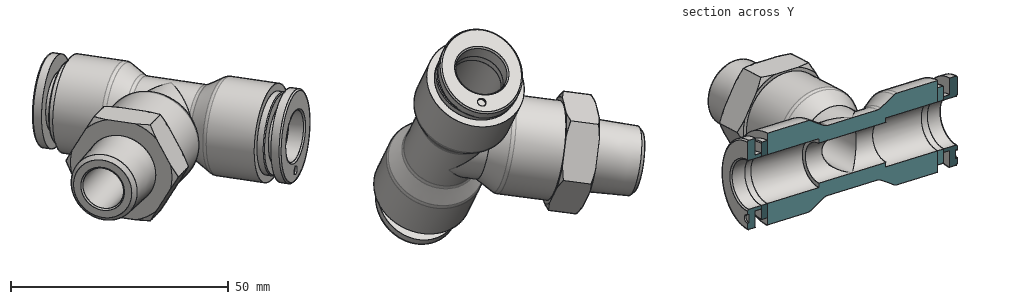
import cadquery as cq
import math


SOCKET_RADIUS = 23.2 / 2
NECK_RADIUS = 8.9
ARM_LENGTH = 24.8
SHOULDER_START = 7.8
SHOULDER_ANGLE = 30
SHOULDER_ROUND = 1.85
FLOW_RADIUS = 10.0 / 2
TUBE_RADIUS = 12.2 / 2
TUBE_STOP = 9.8

COLLAR_RADIUS = 19.6 / 2
COLLAR_END = 26.55
COLLAR_CHAMFER = 0.25

SLEEVE_RADIUS = 14.2 / 2
SLEEVE_END = 30.6
FLANGE_THICKNESS = 2.4
FLANGE_WIDTH = 19.6
FLANGE_HEIGHT = 22.5
FLANGE_CHAMFER = 0.35
MOUTH_CHAMFER = 0.35
DOT_RADIUS = 2.0 / 2
DOT_OFFSET = 8.45
DOT_DEPTH = 0.5

OVERALL_DEPTH = 56.3
HEX_FLATS = 24.0
HEX_LENGTH = 7.85
HEX_FACE_RADIUS = 12.5
HEX_CHAMFER_ANGLE = 25
STUD_LENGTH = OVERALL_DEPTH - SOCKET_RADIUS - ARM_LENGTH
THREAD_ROOT_RADIUS = 8.5
THREAD_TIP_RADIUS = 8.15
TIP_CHAMFER = 1.0
STUD_MOUTH_CHAMFER = 0.35


def cylinder_x(radius, start, end):
    """Cylinder on the X axis between two X positions."""
    return cq.Workplane("YZ", origin=(start, 0, 0)).circle(radius).extrude(end - start)


def on_branch(shape):
    """Turn a shape from the +X axis to the -Y axis."""
    return shape.rotate((0, 0, 0), (0, 0, 1), -90)


def make_arm(inner_round):
    """Solid arm on +X: a neck, a conical shoulder and a socket."""
    shoulder_end = SHOULDER_START + (SOCKET_RADIUS - NECK_RADIUS) / math.tan(math.radians(SHOULDER_ANGLE))
    arm = (
        cq.Workplane("XY")
        .polyline([
            (0, 0),
            (0, NECK_RADIUS),
            (SHOULDER_START, NECK_RADIUS),
            (shoulder_end, SOCKET_RADIUS),
            (ARM_LENGTH, SOCKET_RADIUS),
            (ARM_LENGTH, 0),
        ])
        .close()
        .revolve(360, (0, 0, 0), (1, 0, 0))
    )
    rounded_positions = [shoulder_end, SHOULDER_START] if inner_round else [shoulder_end]
    for x in rounded_positions:
        circle_centre = (x, 0, 0)
        arm = arm.edges(cq.selectors.NearestToPointSelector(circle_centre)).fillet(SHOULDER_ROUND)
    return arm


def make_housing():
    """Tee of three arms with crossing flow bores and a tube socket in each end of the run."""
    run_arm = make_arm(inner_round=True)
    housing = run_arm.union(run_arm.mirror("YZ")).union(on_branch(make_arm(inner_round=False)))
    flow_bore = cylinder_x(FLOW_RADIUS, 0, ARM_LENGTH)
    housing = housing.cut(cylinder_x(FLOW_RADIUS, -ARM_LENGTH, ARM_LENGTH)).cut(on_branch(flow_bore))
    socket = cylinder_x(TUBE_RADIUS, TUBE_STOP, ARM_LENGTH)
    return housing.cut(socket).cut(socket.mirror("YZ"))


def make_collar():
    """Collar ring on +X, seated against the end of the housing."""
    ring = cylinder_x(COLLAR_RADIUS, ARM_LENGTH, COLLAR_END).faces(">X").chamfer(COLLAR_CHAMFER)
    return ring.cut(cylinder_x(TUBE_RADIUS, ARM_LENGTH, COLLAR_END))


def make_sleeve():
    """Release sleeve on +X, seated against the collar: a tube with an oval flange and a marker dot."""
    flange = (
        cq.Workplane("YZ", origin=(SLEEVE_END - FLANGE_THICKNESS, 0, 0))
        .ellipse(FLANGE_WIDTH / 2, FLANGE_HEIGHT / 2)
        .extrude(FLANGE_THICKNESS)
        .faces(">X")
        .chamfer(FLANGE_CHAMFER)
    )
    sleeve = cylinder_x(SLEEVE_RADIUS, COLLAR_END, SLEEVE_END - FLANGE_THICKNESS).union(flange)
    sleeve = sleeve.cut(cylinder_x(TUBE_RADIUS, COLLAR_END, SLEEVE_END))
    sleeve = sleeve.faces(">X").edges("%CIRCLE").chamfer(MOUTH_CHAMFER)
    dot = cylinder_x(DOT_RADIUS, SLEEVE_END - DOT_DEPTH, SLEEVE_END).translate((0, 0, -DOT_OFFSET))
    return sleeve.cut(dot)


def make_hex():
    """Hexagon starting at X = 0, flats facing +Z and -Z, corners turned off at both ends."""
    corner_radius = HEX_FLATS / 2 / math.cos(math.radians(30))
    corner_depth = (corner_radius - HEX_FACE_RADIUS) * math.tan(math.radians(HEX_CHAMFER_ANGLE))
    prism = cq.Workplane("YZ").polygon(6, 2 * corner_radius).extrude(HEX_LENGTH)
    turned = (
        cq.Workplane("XY")
        .polyline([
            (0, 0),
            (0, HEX_FACE_RADIUS),
            (corner_depth, corner_radius),
            (HEX_LENGTH - corner_depth, corner_radius),
            (HEX_LENGTH, HEX_FACE_RADIUS),
            (HEX_LENGTH, 0),
        ])
        .close()
        .revolve(360, (0, 0, 0), (1, 0, 0))
    )
    return prism.intersect(turned)


def make_stud():
    """Hexagon and tapered thread blank, seated against the end of the branch."""
    thread = (
        cq.Workplane("XY")
        .polyline([
            (HEX_LENGTH, 0),
            (HEX_LENGTH, THREAD_ROOT_RADIUS),
            (STUD_LENGTH - TIP_CHAMFER, THREAD_TIP_RADIUS),
            (STUD_LENGTH, THREAD_TIP_RADIUS - TIP_CHAMFER),
            (STUD_LENGTH, 0),
        ])
        .close()
        .revolve(360, (0, 0, 0), (1, 0, 0))
    )
    stud = make_hex().union(thread).cut(cylinder_x(FLOW_RADIUS, 0, STUD_LENGTH))
    stud = stud.faces(">X").edges(cq.selectors.RadiusNthSelector(0)).chamfer(STUD_MOUTH_CHAMFER)
    return on_branch(stud.translate((ARM_LENGTH, 0, 0)))


housing = make_housing()
stud = make_stud()
run_end_bodies = []
for make_body in (make_collar, make_sleeve):
    body = make_body()
    run_end_bodies += [body.val(), body.mirror("YZ").val()]

result = cq.Compound.makeCompound([housing.val(), stud.val(), *run_end_bodies])